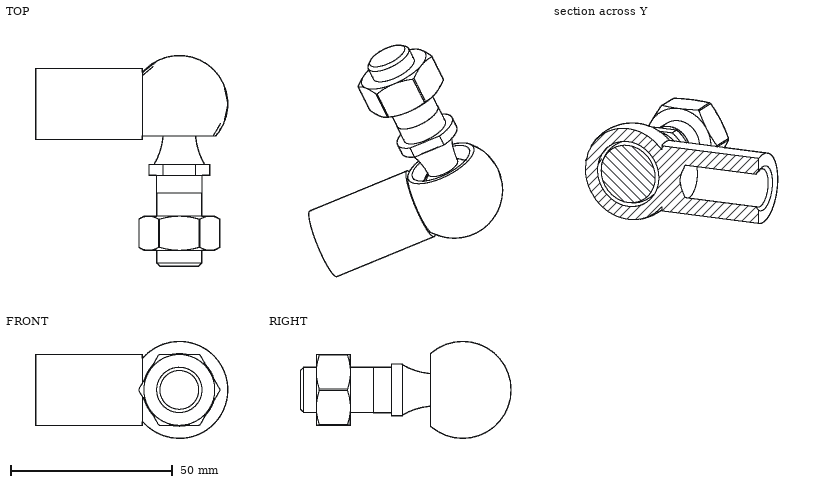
import cadquery as cq
import math


head_radius = 30.0 / 2
mouth_y = -9.95
mouth_radius = 19.5 / 2
seat_radius = 10.8
tube_radius = 22.0 / 2
tube_outer_x = head_radius - 59.4
tube_inner_x = -11.4
tube_hole_radius = 12.0 / 2
tube_mouth_radius = 14.0 / 2
tube_hole_depth = 25.0
drill_tip_angle = 120.0

ball_radius = 19.5 / 2
neck_radius = 5.0
neck_foot_radius = 7.8
collar_top_y = -18.6
collar_bottom_y = -22.0
collar_radius = 9.45
collar_flats = 16.0
shank_radius = 14.1 / 2
thread_radius = 14.0 / 2
thread_start_y = -27.55
stud_end_y = head_radius - 65.1
stud_tip_radius = 12.0 / 2

nut_top_y = -34.65
nut_height = 10.55
nut_flats = 21.9
nut_corner_radius = 12.5
nut_chamfer_angle = 30.0


def revolve_about_y(profile):
    """Revolve a closed outline of (radius, y) points about the Y axis."""
    return profile.close().revolve(360, (0, 0, 0), (0, 1, 0))


def make_tube_hole():
    """Blind hole with a 45 degree countersink and a conical drill tip."""
    countersink = tube_mouth_radius - tube_hole_radius
    bottom_x = tube_outer_x + tube_hole_depth
    tip_x = bottom_x + tube_hole_radius / math.tan(math.radians(drill_tip_angle / 2))
    return (
        cq.Workplane("XY")
        .moveTo(tube_outer_x, 0)
        .lineTo(tube_outer_x, tube_mouth_radius)
        .lineTo(tube_outer_x + countersink, tube_hole_radius)
        .lineTo(bottom_x, tube_hole_radius)
        .lineTo(tip_x, 0)
        .close()
        .revolve(360, (0, 0, 0), (1, 0, 0))
    )


def make_socket():
    """Spherical hollow for the ball that opens through a narrower round mouth."""
    bore = cq.Workplane("XZ").circle(mouth_radius).extrude(head_radius)
    return cq.Workplane("XY").sphere(seat_radius).union(bore)


def make_housing():
    head_depth = head_radius - mouth_y
    head_slab = (
        cq.Workplane("XZ", origin=(0, mouth_y, 0))
        .rect(2 * head_radius, 2 * head_radius)
        .extrude(-head_depth)
    )
    head = cq.Workplane("XY").sphere(head_radius).intersect(head_slab)
    tube = (
        cq.Workplane("YZ", origin=(tube_outer_x, 0, 0))
        .circle(tube_radius)
        .extrude(tube_inner_x - tube_outer_x)
    )
    return head.union(tube).cut(make_socket()).cut(make_tube_hole())


def make_neck():
    """Neck that leaves the ball straight and flares along one arc to the collar."""
    neck_start_y = -math.sqrt(ball_radius**2 - neck_radius**2)
    flare_height = neck_start_y - collar_top_y
    flare_width = neck_foot_radius - neck_radius
    flare_radius = (flare_height**2 + flare_width**2) / (2 * flare_width)
    half_sweep = math.asin(flare_height / flare_radius) / 2
    flare_middle = (
        neck_radius + flare_radius * (1 - math.cos(half_sweep)),
        neck_start_y - flare_radius * math.sin(half_sweep),
    )
    return revolve_about_y(
        cq.Workplane("XY")
        .moveTo(0, 0)
        .lineTo(neck_radius, 0)
        .lineTo(neck_radius, neck_start_y)
        .threePointArc(flare_middle, (neck_foot_radius, collar_top_y))
        .lineTo(0, collar_top_y)
    )


def make_collar():
    """Round collar with a wrench flat on its upper and lower sides."""
    height = collar_top_y - collar_bottom_y
    start = cq.Workplane("XZ", origin=(0, collar_top_y, 0))
    flats = start.rect(2 * collar_radius, collar_flats).extrude(height)
    return start.circle(collar_radius).extrude(height).intersect(flats)


def make_shank():
    """Plain shank and thread, ending in a 45 degree chamfer."""
    tip_chamfer = thread_radius - stud_tip_radius
    return revolve_about_y(
        cq.Workplane("XY")
        .moveTo(0, collar_bottom_y)
        .lineTo(shank_radius, collar_bottom_y)
        .lineTo(shank_radius, thread_start_y)
        .lineTo(thread_radius, thread_start_y)
        .lineTo(thread_radius, stud_end_y + tip_chamfer)
        .lineTo(stud_tip_radius, stud_end_y)
        .lineTo(0, stud_end_y)
    )


def make_ball_stud():
    ball = cq.Workplane("XY").sphere(ball_radius)
    return ball.union(make_neck()).union(make_collar()).union(make_shank())


def make_nut():
    """Hexagon nut with both ends chamfered and the bore fitted to the thread."""
    nut_bottom_y = nut_top_y - nut_height
    end_radius = nut_flats / 2
    chamfer = (nut_corner_radius - end_radius) * math.tan(math.radians(nut_chamfer_angle))
    corner_diameter = nut_flats / math.cos(math.radians(30))
    hexagon = (
        cq.Workplane("XZ", origin=(0, nut_top_y, 0))
        .polygon(6, corner_diameter)
        .extrude(nut_height)
    )
    turned_ring = revolve_about_y(
        cq.Workplane("XY")
        .moveTo(thread_radius, nut_top_y)
        .lineTo(end_radius, nut_top_y)
        .lineTo(nut_corner_radius, nut_top_y - chamfer)
        .lineTo(nut_corner_radius, nut_bottom_y + chamfer)
        .lineTo(end_radius, nut_bottom_y)
        .lineTo(thread_radius, nut_bottom_y)
    )
    return hexagon.intersect(turned_ring)


housing = make_housing()
ball_stud = make_ball_stud()
nut = make_nut()

result = cq.Compound.makeCompound([housing.val(), ball_stud.val(), nut.val()])